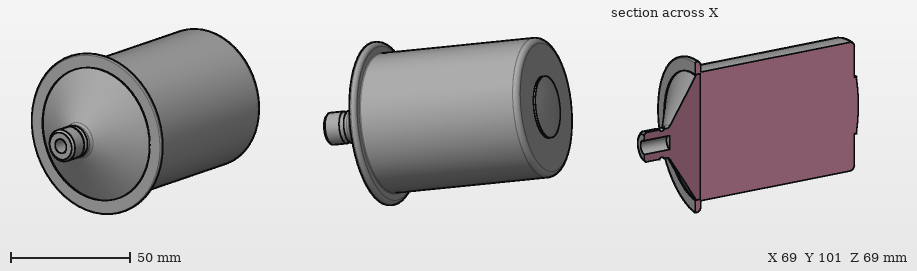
import cadquery as cq
import math

LENGTH = 101.0

can_diameter = 59.0
can_end_y = 99.1
can_end_fillet = 2.4
flange_diameter = 69.0
flange_face_y = 23.9
flange_thickness = 2.8
flange_top_fillet = 2.0
flange_face_fillet = 0.5
flange_root_fillet = 0.3
pad_diameter = 26.0
pad_edge_y = 100.0

mouth_diameter = 57.0
rim_thickness = 2.0

nozzle_diameter = 13.6
nozzle_radius = nozzle_diameter / 2
tip_chamfer = 1.0
groove_start_y = 7.4
groove_width = 2.1
groove_depth = 0.8
collar_width = 1.2
cone_half_angle = 59.5
neck_fillet = 1.6
bore_diameter = 6.1
bore_depth = 12.1

cone_angle = math.radians(cone_half_angle)
groove_end_y = groove_start_y + groove_width
collar_end_y = groove_end_y + collar_width


def neck_point(turn):
    return (
        nozzle_radius + neck_fillet * (1 - math.cos(turn)),
        collar_end_y + neck_fillet * math.sin(turn),
    )


cone_start_radius, cone_start_y = neck_point(cone_angle)
rim_radius = mouth_diameter / 2
rim_face_y = cone_start_y + (rim_radius - cone_start_radius) / math.tan(cone_angle)
seat_y = rim_face_y + rim_thickness


def revolve_about_y(profile):
    return profile.close().revolve(360, (0, 0, 0), (0, 1, 0))


def round_edge(body, diameter, y, radius):
    tolerance = 0.05
    reach = diameter / 2 + tolerance
    rim_box = cq.selectors.BoxSelector(
        (-reach, y - tolerance, -reach), (reach, y + tolerance, reach), boundingbox=True
    )
    wide_edges = [
        edge for edge in body.edges(rim_box).vals()
        if edge.geomType() == "CIRCLE" and abs(edge.radius() - diameter / 2) < tolerance
    ]
    return body.newObject(wide_edges).fillet(radius)


def make_can():
    flange_back_y = flange_face_y + flange_thickness
    profile = (
        cq.Workplane("XY")
        .moveTo(0, flange_face_y)
        .lineTo(flange_diameter / 2, flange_face_y)
        .lineTo(flange_diameter / 2, flange_back_y)
        .lineTo(can_diameter / 2, flange_back_y)
        .lineTo(can_diameter / 2, can_end_y)
        .lineTo(0, can_end_y)
    )
    can = revolve_about_y(profile)
    can = can.faces(">Y").edges().fillet(can_end_fillet)

    can = round_edge(can, flange_diameter, flange_back_y, flange_top_fillet)
    can = round_edge(can, flange_diameter, flange_face_y, flange_face_fillet)
    return round_edge(can, can_diameter, flange_back_y, flange_root_fillet)


def make_domed_pad():
    pad_radius = pad_diameter / 2
    dome_height = LENGTH - pad_edge_y
    sphere_radius = (pad_radius**2 + dome_height**2) / (2 * dome_height)
    half_radius = pad_radius / 2
    half_y = LENGTH - sphere_radius + math.sqrt(sphere_radius**2 - half_radius**2)
    profile = (
        cq.Workplane("XY")
        .moveTo(0, can_end_y)
        .lineTo(pad_radius, can_end_y)
        .lineTo(pad_radius, pad_edge_y)
        .threePointArc((half_radius, half_y), (0, LENGTH))
    )
    return revolve_about_y(profile)


def make_mouth_recess():
    return (
        cq.Workplane("XZ", origin=(0, flange_face_y, 0))
        .circle(rim_radius)
        .extrude(flange_face_y - seat_y)
    )


def make_housing():
    return make_can().union(make_domed_pad()).cut(make_mouth_recess())


def make_funnel():
    groove_floor_radius = nozzle_radius - groove_depth
    profile = (
        cq.Workplane("XY")
        .moveTo(0, 0)
        .lineTo(nozzle_radius - tip_chamfer, 0)
        .lineTo(nozzle_radius, tip_chamfer)
        .lineTo(nozzle_radius, groove_start_y)
        .threePointArc(
            (groove_floor_radius, groove_start_y + groove_width / 2),
            (nozzle_radius, groove_end_y),
        )
        .lineTo(nozzle_radius, collar_end_y)
        .threePointArc(neck_point(cone_angle / 2), (cone_start_radius, cone_start_y))
        .lineTo(rim_radius, rim_face_y)
        .lineTo(rim_radius, seat_y)
        .lineTo(0, seat_y)
    )
    bore = cq.Workplane("XZ").circle(bore_diameter / 2).extrude(-bore_depth)
    return revolve_about_y(profile).cut(bore)


housing = make_housing()
funnel = make_funnel()

result = cq.Compound.makeCompound([housing.solids().val(), funnel.solids().val()])